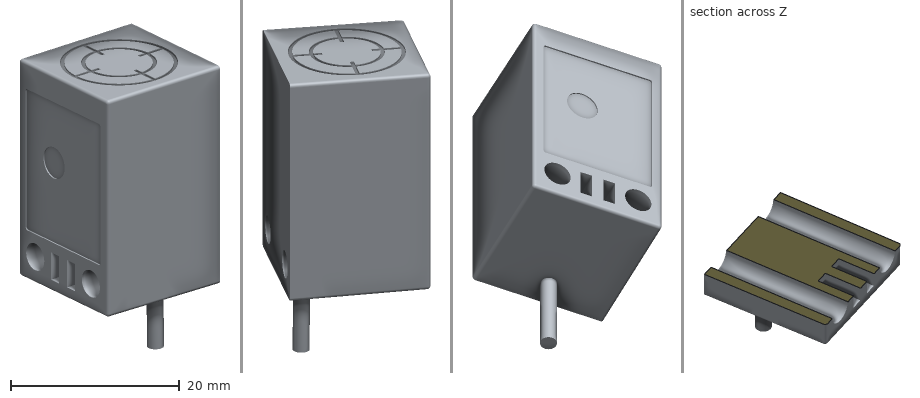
import cadquery as cq
import math

width = 17.05
depth = 17.05
total_height = 38.05
cable_drop = 10.0
height = total_height - cable_drop
draft_angle = 0.3
edge_radius = 0.4
back_y = depth / 2
front_y = -depth / 2
top_z = height / 2
bottom_z = -height / 2

label_width = 14.15
label_height = 18.15
label_z = 1.45
label_depth = 0.2
label_corner_radius = 0.3
window_diameter = 4.0
window_x = -1.95
window_z = 2.6
window_depth = 0.15

hole_diameter = 3.42
hole_spacing = 10.55
hole_height = 3.45
hole_z = bottom_z + hole_height
slot_width = 1.52
slot_height = 3.5
slot_spacing = 3.0
slot_z = hole_z - 0.2
slot_depth = 4.95
slot_ceiling_drop = 0.15

outer_ring_diameter = 14.0
inner_ring_diameter = 9.0
groove_width = 0.5
groove_depth = 0.25
spoke_inner_radius = 3.0
spoke_count = 4

cable_diameter = 2.0
cable_y = 5.48
cable_embed = 0.75
cable_tilt = draft_angle
tilt_radians = math.radians(cable_tilt)
cable_length = (cable_drop - cable_diameter / 2 * math.sin(tilt_radians)) / math.cos(tilt_radians)


def make_housing():
    block = (
        cq.Workplane("XZ", origin=(0, back_y, 0))
        .rect(width, height)
        .extrude(depth, taper=draft_angle)
    )
    return block.edges("not >Y").fillet(edge_radius)


def front_plane():
    return cq.Workplane("XZ", origin=(0, front_y, 0))


def make_label_recess():
    label = (
        front_plane()
        .center(0, label_z)
        .rect(label_width, label_height)
        .extrude(-label_depth)
        .edges("|Y")
        .fillet(label_corner_radius)
    )
    window = (
        front_plane()
        .center(window_x, window_z)
        .circle(window_diameter / 2)
        .extrude(-(label_depth + window_depth))
    )
    return label.union(window)


def make_slot():
    slot_top = slot_z + slot_height / 2
    slot_floor = slot_z - slot_height / 2
    blind_y = front_y + slot_depth
    profile = [
        (front_y, slot_floor),
        (blind_y, slot_floor),
        (blind_y, slot_top - slot_ceiling_drop),
        (front_y, slot_top),
    ]
    return cq.Workplane("YZ").polyline(profile).close().extrude(slot_width / 2, both=True)


def make_front_openings():
    holes = (
        front_plane()
        .pushPoints([(-hole_spacing / 2, hole_z), (hole_spacing / 2, hole_z)])
        .circle(hole_diameter / 2)
        .extrude(-depth)
    )
    for x in (-slot_spacing / 2, slot_spacing / 2):
        holes = holes.union(make_slot().translate((x, 0, 0)))
    return holes


def make_target_groove():
    floor = cq.Workplane("XY", origin=(0, 0, top_z - groove_depth))
    groove_top = 2 * groove_depth
    target = None
    for diameter in (outer_ring_diameter, inner_ring_diameter):
        ring = floor.circle(diameter / 2).circle(diameter / 2 - groove_width).extrude(groove_top)
        target = ring if target is None else target.union(ring)
    spoke_length = outer_ring_diameter / 2 - groove_width / 2 - spoke_inner_radius
    spoke = floor.center(spoke_inner_radius + spoke_length / 2, 0).rect(spoke_length, groove_width)
    spoke = spoke.extrude(groove_top)
    for index in range(spoke_count):
        target = target.union(spoke.rotate((0, 0, 0), (0, 0, 1), index * 360 / spoke_count))
    return target


def make_cable():
    straight = (
        cq.Workplane("XY", origin=(0, cable_y, bottom_z - cable_length))
        .circle(cable_diameter / 2)
        .extrude(cable_length + cable_embed)
    )
    return straight.rotate((0, cable_y, bottom_z), (1, cable_y, bottom_z), cable_tilt)


result = (
    make_housing()
    .cut(make_label_recess())
    .cut(make_front_openings())
    .cut(make_target_groove())
    .union(make_cable())
)